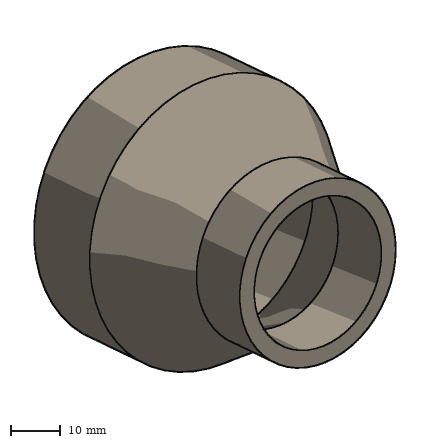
import cadquery as cq

wide_outer_diameter = 63.0
wide_bore_diameter = 51.4
narrow_outer_diameter = 40.0
narrow_bore_diameter = 32.6

total_length = 52.0
wide_length = 18.0
narrow_length = 14.0
taper_end = total_length - narrow_length


def stepped_solid(wide_diameter, narrow_diameter):
    """Revolve a wide cylinder, a taper and a narrow cylinder about the X axis."""
    wide_radius = wide_diameter / 2
    narrow_radius = narrow_diameter / 2
    half_profile = (
        cq.Workplane("XY")
        .moveTo(0, 0)
        .lineTo(0, wide_radius)
        .lineTo(wide_length, wide_radius)
        .lineTo(taper_end, narrow_radius)
        .lineTo(total_length, narrow_radius)
        .lineTo(total_length, 0)
        .close()
    )
    return half_profile.revolve(360, (0, 0, 0), (1, 0, 0))


body = stepped_solid(wide_outer_diameter, narrow_outer_diameter)
bore = stepped_solid(wide_bore_diameter, narrow_bore_diameter)

result = body.cut(bore)